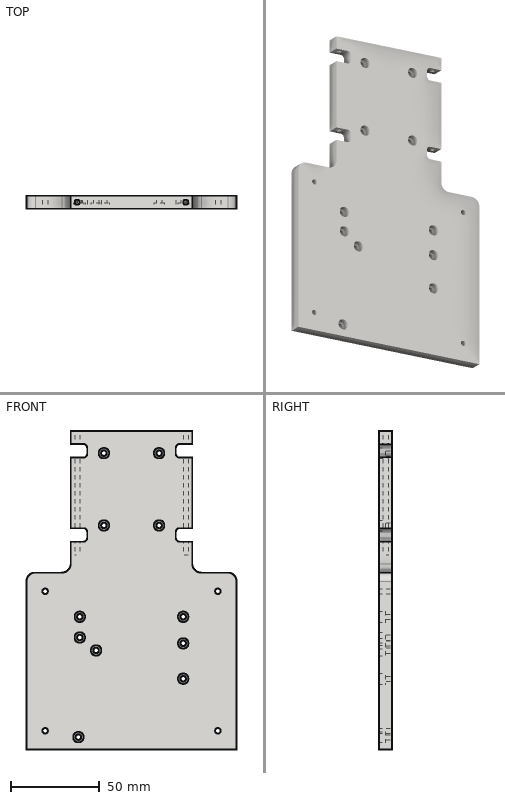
import cadquery as cq

BODY_WIDTH = 118.8
BODY_HEIGHT = 100.0
NECK_WIDTH = 68.8
TOTAL_HEIGHT = 180.0
THICKNESS = 7.5
SHOULDER_RADIUS = 5.0
FRONT_Y = -THICKNESS / 2

NOTCH_HEIGHT = 7.5
NOTCH_DEPTH = 9.3
NOTCH_RADIUS = 2.0
NOTCH_TOPS = (TOTAL_HEIGHT - 7.5, TOTAL_HEIGHT - 55.0)

SCREW_DIAMETER = 3.0
CORNER_INSET = 10.6

COUNTERBORE_DIAMETER = 6.0
COUNTERBORE_DEPTH = 3.5
NECK_HOLE_X = 15.6
NECK_HOLE_HEIGHTS = (TOTAL_HEIGHT - 12.6, TOTAL_HEIGHT - 53.4)
BODY_COUNTERBORES = (
    (-29.2, 75.0),
    (-29.2, 63.3),
    (-20.0, 56.0),
    (-30.0, 7.0),
    (29.2, 75.0),
    (29.2, 60.0),
    (29.2, 40.0),
)

EDGE_HOLE_X = 30.65
EDGE_HOLE_RUNOUT = 7.5


def front_plane():
    """Workplane on the front face: local x is X, local y is Z, extruding toward -Y."""
    return cq.Workplane("XZ", origin=(0, FRONT_Y, 0))


def make_plate():
    """Wide body with a narrower neck and rounded shoulders."""
    half_body = BODY_WIDTH / 2
    half_neck = NECK_WIDTH / 2
    plate = (
        front_plane()
        .moveTo(-half_body, 0)
        .lineTo(half_body, 0)
        .lineTo(half_body, BODY_HEIGHT)
        .lineTo(half_neck, BODY_HEIGHT)
        .lineTo(half_neck, TOTAL_HEIGHT)
        .lineTo(-half_neck, TOTAL_HEIGHT)
        .lineTo(-half_neck, BODY_HEIGHT)
        .lineTo(-half_body, BODY_HEIGHT)
        .close()
        .extrude(-THICKNESS)
    )
    shoulders = cq.selectors.BoxSelector(
        (-BODY_WIDTH, -THICKNESS, BODY_HEIGHT - SHOULDER_RADIUS),
        (BODY_WIDTH, THICKNESS, BODY_HEIGHT + SHOULDER_RADIUS),
    )
    return plate.edges("|Y").edges(shoulders).fillet(SHOULDER_RADIUS)


def make_notch(side, top):
    """Cutter for one side notch, rounded at its inner corners; side is -1 or 1."""
    block = (
        cq.Workplane("XY")
        .box(2 * NOTCH_DEPTH, THICKNESS, NOTCH_HEIGHT)
        .edges("|Y")
        .fillet(NOTCH_RADIUS)
    )
    return block.translate((side * NECK_WIDTH / 2, 0, top - NOTCH_HEIGHT / 2))


def make_edge_hole(side):
    """Cutter for one blind vertical hole that ends a little below the lower notch."""
    floor = min(NOTCH_TOPS) - NOTCH_HEIGHT - EDGE_HOLE_RUNOUT
    return (
        cq.Workplane("XY", origin=(side * EDGE_HOLE_X, 0, floor))
        .circle(SCREW_DIAMETER / 2)
        .extrude(TOTAL_HEIGHT - floor)
    )


def make_bores(points, diameter, depth):
    """Cutters for round bores sunk from the front face."""
    return front_plane().pushPoints(points).circle(diameter / 2).extrude(-depth)


corner_x = BODY_WIDTH / 2 - CORNER_INSET
corner_points = [
    (side * corner_x, z)
    for side in (-1, 1)
    for z in (CORNER_INSET, BODY_HEIGHT - CORNER_INSET)
]
neck_points = [(side * NECK_HOLE_X, z) for side in (-1, 1) for z in NECK_HOLE_HEIGHTS]
counterbore_points = neck_points + list(BODY_COUNTERBORES)

result = make_plate()
for side in (-1, 1):
    for top in NOTCH_TOPS:
        result = result.cut(make_notch(side, top))
    result = result.cut(make_edge_hole(side))
result = result.cut(make_bores(corner_points + counterbore_points, SCREW_DIAMETER, THICKNESS))
result = result.cut(make_bores(counterbore_points, COUNTERBORE_DIAMETER, COUNTERBORE_DEPTH))